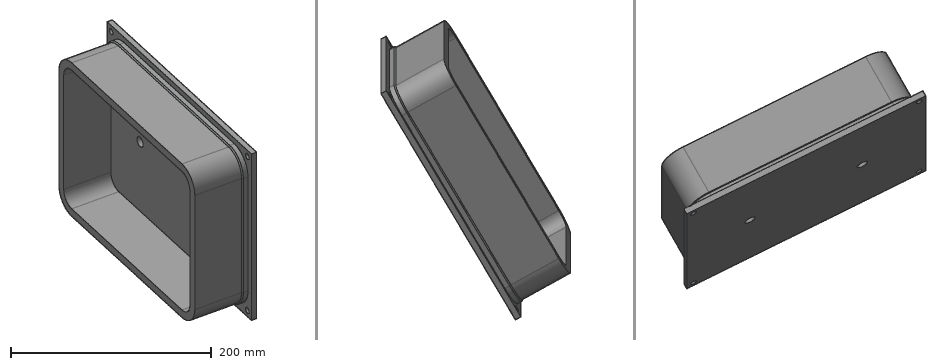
import cadquery as cq

plate_width = 270.0
plate_height = 203.2
plate_thickness = 6.2
total_depth = 68.0

body_margin = 7.8
body_width = plate_width - 2 * body_margin
body_height = plate_height - 2 * body_margin
body_corner_radius = 24.0
wall_thickness = 9.2
floor_thickness = 12.5

collar_overhang = 1.3
collar_depth = 6.7

mount_hole_diameter = 6.5
mount_hole_inset = 7.5
floor_hole_diameter = 11.3
floor_hole_spacing = 126.8

back_plane = cq.Workplane("XZ")


def rounded_block(offset, start, depth):
    """Block running toward -Y, its outline offset from that of the box."""
    return (
        back_plane.workplane(offset=start)
        .rect(body_width + 2 * offset, body_height + 2 * offset)
        .extrude(depth)
        .edges("|Y")
        .fillet(body_corner_radius + offset)
    )


plate = back_plane.rect(plate_width, plate_height).extrude(plate_thickness)
body = rounded_block(0, 0, total_depth)
collar = (
    rounded_block(collar_overhang, plate_thickness, collar_depth)
    .faces("<Y")
    .chamfer(collar_overhang)
)
cavity = rounded_block(-wall_thickness, floor_thickness, total_depth - floor_thickness)

mount_holes = (
    back_plane.rect(
        plate_width - 2 * mount_hole_inset,
        plate_height - 2 * mount_hole_inset,
        forConstruction=True,
    )
    .vertices()
    .circle(mount_hole_diameter / 2)
    .extrude(plate_thickness)
)
floor_holes = (
    back_plane.pushPoints([(side * floor_hole_spacing / 2, 0) for side in (-1, 1)])
    .circle(floor_hole_diameter / 2)
    .extrude(floor_thickness)
)

result = plate.union(body).union(collar).cut(cavity).cut(mount_holes).cut(floor_holes)